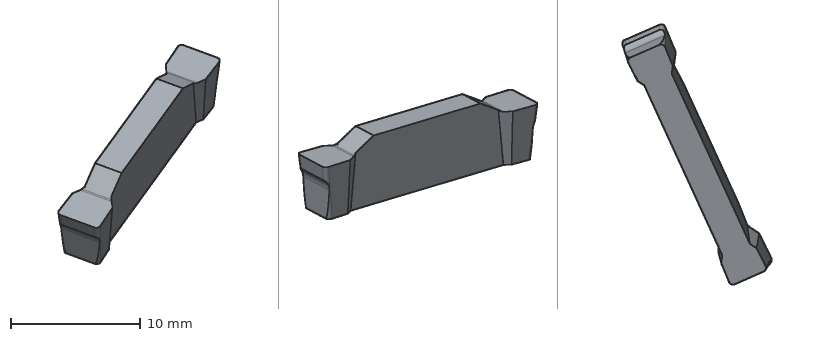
import cadquery as cq
import math

length = 20.78
head_width = 3.64
height = 5.78
core_width = 2.33
half_length = length / 2

head_height = 4.61
ridge_half_length = 5.17
ramp_angle = math.radians(30)
ramp_blend_radius = 0.25
relief_top = 3.4
relief_bottom = 2.58
relief_depth = 0.52

tip_corner_radius = 0.33
flank_length = 2.51
flank_end_half_width = 1.75
shoulder_slope = 0.62
root_half_width = 0.83

side_inset = 0.25
front_draft = math.radians(6.5)
front_inset = head_height * math.tan(front_draft)
shoulder_shift = 0.06


def make_core():
    return cq.Workplane("XY").box(core_width, length - 2 * flank_length, height, centered=(True, True, False))


def head_outline(z):
    """Plan corners on one side of the -Y head at height z, from tip to root."""
    drop = (head_height - z) / head_height
    tip_x = head_width / 2 - side_inset * drop
    flank_x = flank_end_half_width - side_inset * drop
    tip_y = -half_length + front_inset * drop
    flank_y = -half_length + flank_length - shoulder_shift * drop
    root_y = flank_y + (flank_x - root_half_width) / shoulder_slope
    return [(tip_x, tip_y), (flank_x, flank_y), (root_half_width, root_y)]


def make_head():
    """Drafted head at the -Y end, taller than its top face until trimmed."""
    sections = cq.Workplane("XY")
    previous_z = 0
    for z in (0, height):
        side = head_outline(z)
        mirrored = [(-x, y) for x, y in reversed(side)]
        sections = sections.workplane(offset=z - previous_z).polyline(side + mirrored).close()
        previous_z = z
    head = sections.loft(ruled=True, combine=True)
    tip_edges = cq.selectors.BoxSelector(
        (-head_width, -length, 0), (head_width, -half_length + flank_length / 4, height)
    )
    return head.edges(tip_edges).edges("not |X").fillet(tip_corner_radius)


def make_profile():
    """Side silhouette with stepped top and concave front relief, extruded across the width."""
    ramp_foot = ridge_half_length + (height - head_height) / math.tan(ramp_angle)
    relief_back = half_length - relief_depth
    lip_front = half_length - front_inset * (head_height - relief_top) / head_height

    arc_width = lip_front - relief_back
    arc_height = relief_top - relief_bottom
    arc_radius = (arc_width**2 + arc_height**2) / (2 * arc_width)
    half_sweep = math.asin(arc_height / arc_radius) / 2
    arc_mid = (
        relief_back + arc_radius * (1 - math.cos(half_sweep)),
        relief_bottom + arc_radius * math.sin(half_sweep),
    )
    half = (
        cq.Workplane("YZ")
        .moveTo(0, 0)
        .lineTo(relief_back, 0)
        .lineTo(relief_back, relief_bottom)
        .threePointArc(arc_mid, (lip_front, relief_top))
        .lineTo(half_length, head_height)
        .lineTo(ramp_foot, head_height)
        .lineTo(ridge_half_length, height)
        .lineTo(0, height)
        .close()
        .extrude(head_width, both=True)
    )
    ramp_foot_edge = cq.selectors.NearestToPointSelector((0, ramp_foot, head_height))
    half = half.edges("|X").edges(ramp_foot_edge).fillet(ramp_blend_radius)
    return half.union(half.mirror("XZ")).clean()


head = make_head()
blank = make_core().union(head).union(head.mirror("XZ"))
result = blank.intersect(make_profile())